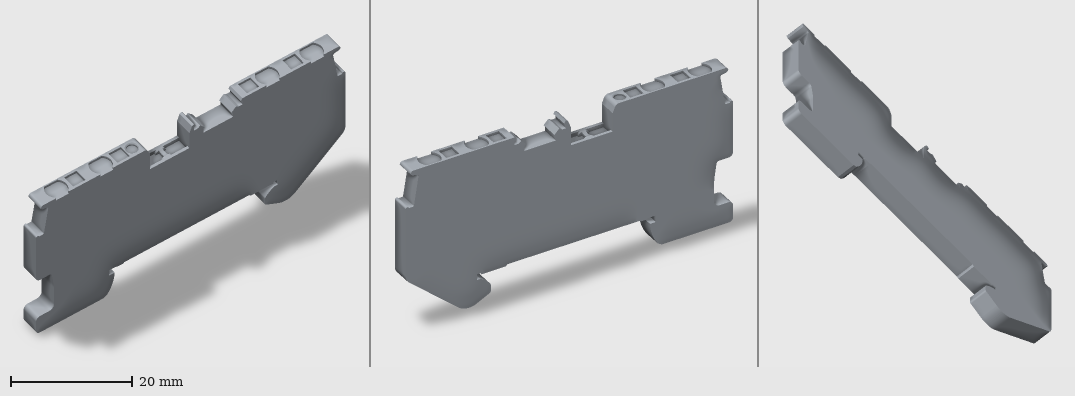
import cadquery as cq
import math

THICKNESS = 3.5
LENGTH = 63.2
HEIGHT = 30.5
HALF_T = THICKNESS / 2
HALF_L = LENGTH / 2

SHOULDER_Z = 23.45
RIM_HEIGHT = 0.25
RIM_WIDTH = 0.65
RIM_RISE = 0.1
RIM_ROUND = 0.3
NECK_BOTTOM_Y = 30.0
NECK_TOP_Y = 29.1
NECK_BOTTOM_ROUND = 0.2
NECK_TOP_ROUND = 0.3
LIP_Y = 30.65
LIP_THICKNESS = 1.15
LIP_ROUND = 0.6
LIP_KNEE = (30.35, 29.65)

MARKER_Y = 5.6
MARKER_HALF_WIDTH = 3.05
MARKER_FLOOR_Z = 27.25
CATCH_TIP = (2.7, 28.45)
CATCH_BASE_Z = 28.25
RIDGE_PEAK = (3.65, 29.4)
GROOVE_START = 4.25
GROOVE_END = 5.0
GROOVE_FLOOR_Z = 29.0
NOSE_BASE_Z = 29.75
NOSE_TIP = (4.6, 30.0)
NOSE_TOP = 4.9

JUMPER_Y_MAX = -0.25
JUMPER_Y_MIN = -8.35
JUMPER_FLOOR_Z = 25.35
JUMPER_LEAN_Z = 28.95
NEAR_WALL_CREST = (0.25, 30.3)
FAR_WALL_CREST = (-8.8, 30.0)
FAR_WALL_ARC_MID = (-9.05, 30.35)
FAR_WALL_TOP_Y = -9.4

SEAT_Z = 6.05
SEAT_HOOK_Y = 17.8
SEAT_FOOT_Y = -16.55
HOOK_PAD_Z = 5.75
HOOK_PAD_Y = (16.95, 12.25)
FOOT_PAD_Z = 5.9
FOOT_PAD_Y = (-13.65, -15.1)

SLOPE_TOP_Z = 9.35
SLOPE_BOTTOM_Y = 20.55
SLOPE_TOP_ROUND = 1.9
HOOK_BOTTOM_Y = 18.6
HOOK_BOTTOM_ROUND = 2.85
HOOK_TIP_Y = 15.15
HOOK_TIP_Z = (1.65, 3.2)
HOOK_TIP_ROUND = 0.45
HOOK_ARC_MID = (16.25, 4.35)
HOOK_BACK_Y = 17.2
HOOK_BACK_Z = 4.9

FOOT_UNDERCUT_Y = -16.7
FOOT_NOSE_Y = -15.55
FOOT_NOSE_Z = 4.8
FOOT_ARC_MID = (-16.1, 2.1)
FOOT_ARC_END = (-17.05, 0.45)
FOOT_BOTTOM_Y = -17.8
FOOT_END_ROUND = 0.8

POCKET_BOTTOM_Z = 4.0
POCKET_TOP_Z = 12.75
POCKET_Y = -27.95
POCKET_TOP_Y = -28.45
POCKET_BEND_Z = 9.35
POCKET_BEND_ROUND = 5.05
POCKET_BOTTOM_ROUND = 1.1
POCKET_TOP_ROUND = 0.6
POCKET_MOUTH_ROUND = 0.9

OPENING_DEPTH = 0.5
OPENING_MID_Y = -0.1
WIRE_HOLE_OFFSETS = (26.1, 17.0)
WIRE_HOLE_RADIUS = 2.0
WIRE_HOLE_FLAT_X = 1.5
RELEASE_OFFSETS = (22.3, 13.2)
RELEASE_SIZE = 2.5
TEST_HOLE_Y = -10.75
TEST_HOLE_DIAMETER = 2.0
TEST_HOLE_RIM_DIAMETER = 2.4

SLOT_WIDTH = 2.35
SLOT_DEPTH = 0.75
CRADLE_WIDTH = 0.75
CRADLE_GAP = 1.5
CRADLE_DIP = 0.2
CHEEK_LENGTH = 2.1


def extrude_through(outline):
    """Extrude a closed Y-Z outline through the whole thickness."""
    return outline.extrude(HALF_T, both=True)


def yz_polygon(points):
    return extrude_through(cq.Workplane("YZ").polyline(points).close())


def end_cut(side):
    """Space outside the neck and lip at one end; side is +1 or -1 along Y."""
    lip_bottom_z = HEIGHT - LIP_THICKNESS
    lip_start_y = LIP_Y - LIP_ROUND
    lip_mid_offset = LIP_ROUND * (1 - math.sqrt(0.5))
    lip_mid = (side * (LIP_Y - lip_mid_offset), HEIGHT - lip_mid_offset)
    knee_y, knee_z = LIP_KNEE
    rim_start_y = HALF_L - RIM_WIDTH
    rim_z = SHOULDER_Z + RIM_HEIGHT
    outline = (
        cq.Workplane("YZ")
        .moveTo(side * lip_start_y, HEIGHT)
        .threePointArc(lip_mid, (side * LIP_Y, HEIGHT - LIP_ROUND))
        .lineTo(side * knee_y, knee_z)
        .lineTo(side * NECK_TOP_Y, lip_bottom_z)
        .lineTo(side * NECK_BOTTOM_Y, SHOULDER_Z)
        .lineTo(side * rim_start_y, SHOULDER_Z)
        .lineTo(side * (rim_start_y + RIM_RISE), rim_z)
        .lineTo(side * HALF_L, rim_z)
        .lineTo(side * HALF_L, HEIGHT)
        .close()
    )
    return extrude_through(outline)


def marker_recess():
    """Recess between the two snap hooks, open at the top."""
    half_outline = [
        (MARKER_HALF_WIDTH, MARKER_FLOOR_Z),
        (MARKER_HALF_WIDTH, CATCH_BASE_Z),
        CATCH_TIP,
        RIDGE_PEAK,
        (GROOVE_START, GROOVE_FLOOR_Z),
        (GROOVE_END, GROOVE_FLOOR_Z),
        (GROOVE_END, NOSE_BASE_Z),
        NOSE_TIP,
        (NOSE_TOP, HEIGHT),
    ]
    plus_side = [(MARKER_Y + offset, z) for offset, z in half_outline]
    minus_side = [(MARKER_Y - offset, z) for offset, z in half_outline]
    return yz_polygon(plus_side + minus_side[::-1])


def jumper_recess():
    """Deep recess whose walls lean outwards near the top."""
    outline = (
        cq.Workplane("YZ")
        .moveTo(MARKER_Y - NOSE_TOP, HEIGHT)
        .lineTo(*NEAR_WALL_CREST)
        .lineTo(JUMPER_Y_MAX, JUMPER_LEAN_Z)
        .lineTo(JUMPER_Y_MAX, JUMPER_FLOOR_Z)
        .lineTo(JUMPER_Y_MIN, JUMPER_FLOOR_Z)
        .lineTo(JUMPER_Y_MIN, JUMPER_LEAN_Z)
        .lineTo(*FAR_WALL_CREST)
        .threePointArc(FAR_WALL_ARC_MID, (FAR_WALL_TOP_Y, HEIGHT))
        .close()
    )
    return extrude_through(outline)


def underside_cut():
    """Rail seat between the hook and the foot, open downwards."""
    pad_step = SEAT_Z - HOOK_PAD_Z
    hook_pad_start, hook_pad_end = HOOK_PAD_Y
    foot_pad_start, foot_pad_end = FOOT_PAD_Y
    outline = (
        cq.Workplane("YZ")
        .moveTo(HOOK_BOTTOM_Y, 0)
        .lineTo(HOOK_TIP_Y, HOOK_TIP_Z[0])
        .lineTo(HOOK_TIP_Y, HOOK_TIP_Z[1])
        .threePointArc(HOOK_ARC_MID, (HOOK_BACK_Y, HOOK_BACK_Z))
        .lineTo(SEAT_HOOK_Y, HOOK_BACK_Z)
        .lineTo(SEAT_HOOK_Y, SEAT_Z)
        .lineTo(hook_pad_start, SEAT_Z)
        .lineTo(hook_pad_start, HOOK_PAD_Z)
        .lineTo(hook_pad_end, HOOK_PAD_Z)
        .lineTo(hook_pad_end - pad_step, SEAT_Z)
        .lineTo(foot_pad_start, SEAT_Z)
        .lineTo(foot_pad_start, FOOT_PAD_Z)
        .lineTo(foot_pad_end, FOOT_PAD_Z)
        .lineTo(foot_pad_end, SEAT_Z)
        .lineTo(SEAT_FOOT_Y, SEAT_Z)
        .lineTo(FOOT_UNDERCUT_Y, FOOT_NOSE_Z)
        .lineTo(FOOT_NOSE_Y, FOOT_NOSE_Z)
        .threePointArc(FOOT_ARC_MID, FOOT_ARC_END)
        .lineTo(FOOT_BOTTOM_Y, 0)
        .close()
    )
    return extrude_through(outline)


def end_pocket():
    """Pocket open to the -Y end; its inner wall leans outwards above the bend."""
    return yz_polygon([
        (-HALF_L, POCKET_BOTTOM_Z),
        (POCKET_Y, POCKET_BOTTOM_Z),
        (POCKET_Y, POCKET_BEND_Z),
        (POCKET_TOP_Y, POCKET_TOP_Z),
        (-HALF_L, POCKET_TOP_Z),
    ])


def x_edge_at(y, z):
    """Selector for the edge that runs along X at the given place."""
    margin = 0.05
    low = (-HALF_T - margin, y - margin, z - margin)
    high = (HALF_T + margin, y + margin, z + margin)
    return cq.selectors.BoxSelector(low, high)


def round_edges(body, corners, radius):
    for y, z in corners:
        body = body.edges(x_edge_at(y, z)).fillet(radius)
    return body


def housing():
    body = yz_polygon([
        (-HALF_L, 0),
        (SLOPE_BOTTOM_Y, 0),
        (HALF_L, SLOPE_TOP_Z),
        (HALF_L, HEIGHT),
        (-HALF_L, HEIGHT),
    ])
    recesses = (marker_recess(), jumper_recess(), underside_cut(), end_pocket())
    for cutter in (end_cut(1), end_cut(-1), *recesses):
        body = body.cut(cutter)

    mouth = [(-HALF_L, POCKET_BOTTOM_Z), (-HALF_L, POCKET_TOP_Z)]
    hook_bottom = [(SLOPE_BOTTOM_Y, 0), (HOOK_BOTTOM_Y, 0)]
    body = round_edges(body, [(HALF_L, SLOPE_TOP_Z)], SLOPE_TOP_ROUND)
    body = round_edges(body, hook_bottom, HOOK_BOTTOM_ROUND)
    body = round_edges(body, [(HOOK_TIP_Y, z) for z in HOOK_TIP_Z], HOOK_TIP_ROUND)
    body = round_edges(body, [(-HALF_L, 0)], FOOT_END_ROUND)
    body = round_edges(body, mouth, POCKET_MOUTH_ROUND)
    body = round_edges(body, [(POCKET_Y, POCKET_BOTTOM_Z)], POCKET_BOTTOM_ROUND)
    body = round_edges(body, [(POCKET_Y, POCKET_BEND_Z)], POCKET_BEND_ROUND)
    body = round_edges(body, [(POCKET_TOP_Y, POCKET_TOP_Z)], POCKET_TOP_ROUND)
    for side in (1, -1):
        neck_top = (side * NECK_TOP_Y, HEIGHT - LIP_THICKNESS)
        neck_bottom = (side * NECK_BOTTOM_Y, SHOULDER_Z)
        rim_corner = (side * HALF_L, SHOULDER_Z + RIM_HEIGHT)
        body = round_edges(body, [neck_top], NECK_TOP_ROUND)
        body = round_edges(body, [neck_bottom], NECK_BOTTOM_ROUND)
        body = round_edges(body, [rim_corner], RIM_ROUND)
    return body


def wire_hole(y):
    """Round pocket with flat sides; a short mouth opens it through the +X face."""
    flat_length = 2 * math.sqrt(WIRE_HOLE_RADIUS**2 - WIRE_HOLE_FLAT_X**2)
    floor = cq.Workplane("XY", origin=(0, y, HEIGHT - OPENING_DEPTH))
    disc = floor.circle(WIRE_HOLE_RADIUS).extrude(OPENING_DEPTH)
    band = floor.rect(2 * WIRE_HOLE_FLAT_X, 2 * WIRE_HOLE_RADIUS).extrude(OPENING_DEPTH)
    mouth = floor.center(HALF_T / 2, 0).rect(HALF_T, flat_length).extrude(OPENING_DEPTH)
    return disc.intersect(band).union(mouth)


def release_pocket(y):
    """Square pocket for the release tool."""
    return (
        cq.Workplane("XY", origin=(0, y, HEIGHT - OPENING_DEPTH))
        .rect(RELEASE_SIZE, RELEASE_SIZE)
        .extrude(OPENING_DEPTH)
    )


def test_hole():
    """Blind round hole with a countersunk rim."""
    rim = (TEST_HOLE_RIM_DIAMETER - TEST_HOLE_DIAMETER) / 2
    hole = (
        cq.Workplane("XY", origin=(0, TEST_HOLE_Y, HEIGHT - OPENING_DEPTH))
        .circle(TEST_HOLE_DIAMETER / 2)
        .extrude(OPENING_DEPTH)
    )
    cone = cq.Solid.makeCone(
        TEST_HOLE_DIAMETER / 2,
        TEST_HOLE_RIM_DIAMETER / 2,
        rim,
        pnt=cq.Vector(0, TEST_HOLE_Y, HEIGHT - rim),
    )
    return hole.union(cq.Workplane(cone))


def jumper_slot():
    """Slot in the recess floor, less the cradle left standing across it."""
    slot_floor_z = JUMPER_FLOOR_Z - SLOT_DEPTH
    slot_length = JUMPER_Y_MAX - JUMPER_Y_MIN
    slot_y = (JUMPER_Y_MAX + JUMPER_Y_MIN) / 2
    slot = (
        cq.Workplane("XY", origin=(0, slot_y, slot_floor_z))
        .rect(SLOT_WIDTH, slot_length)
        .extrude(SLOT_DEPTH)
    )

    shoulder = (CHEEK_LENGTH - CRADLE_WIDTH) / 2
    cheeks = (
        cq.Workplane("XY", origin=(0, slot_y, slot_floor_z))
        .rect(SLOT_WIDTH, CHEEK_LENGTH)
        .extrude(SLOT_DEPTH)
        .edges("|X and >Z")
        .fillet(shoulder)
    )
    gap = (
        cq.Workplane("XY", origin=(0, slot_y, slot_floor_z))
        .rect(CRADLE_GAP, CHEEK_LENGTH)
        .extrude(SLOT_DEPTH)
    )

    half_gap = CRADLE_GAP / 2
    bar = (
        cq.Workplane("XZ", origin=(0, slot_y, 0))
        .moveTo(-half_gap, slot_floor_z)
        .lineTo(-half_gap, JUMPER_FLOOR_Z)
        .threePointArc((0, JUMPER_FLOOR_Z - CRADLE_DIP), (half_gap, JUMPER_FLOOR_Z))
        .lineTo(half_gap, slot_floor_z)
        .close()
        .extrude(CRADLE_WIDTH / 2, both=True)
    )
    return slot.cut(cheeks.cut(gap)).cut(bar)


result = housing()
for side in (1, -1):
    for offset in WIRE_HOLE_OFFSETS:
        result = result.cut(wire_hole(OPENING_MID_Y + side * offset))
    for offset in RELEASE_OFFSETS:
        result = result.cut(release_pocket(OPENING_MID_Y + side * offset))
result = result.cut(test_hole())
result = result.cut(jumper_slot())